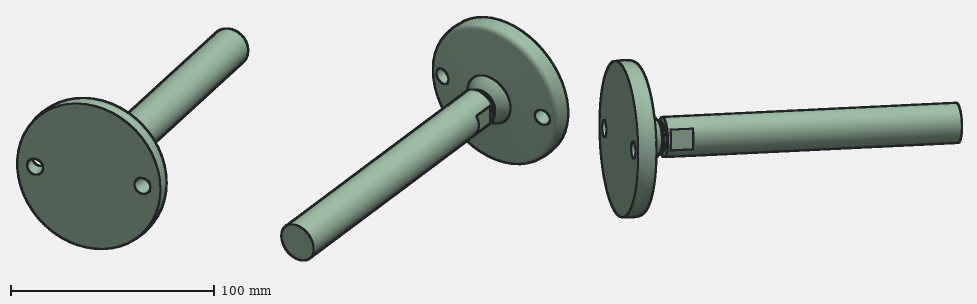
import cadquery as cq
import math

TOTAL_LENGTH = 172.0

RIM_RADIUS = 78.0 / 2
RIM_DRAFT = 0.3
RIM_WIDEST_Y = 4.3
RIM_TOP_Y = 6.9
SHOULDER_RADIUS = 36.0
SHOULDER_Y = 10.0
CONE_ANGLE = 9.2

CONE_INNER_RADIUS = 13.2
DOME_RADIUS = 14.3
DOME_CENTRE_Y = 8.3
DOME_BASE_Y = 15.0
DOME_TOP_Y = 19.8
LIP_RADIUS = 8.6
LIP_Y = 20.8

HOLE_DIAMETER = 8.5
HOLE_OFFSET = 28.9
HOLE_CUTTER_LENGTH = 34.4

STEM_RADIUS = 20.0 / 2
STEM_START_Y = 22.5
NECK_BASE_RADIUS = 7.9
NECK_TOP_RADIUS = 6.5
ACROSS_FLATS = 17.0
FLAT_START_Y = 24.0
FLAT_LENGTH = 11.4


def dome_radius_at(y):
    return math.sqrt(DOME_RADIUS**2 - (y - DOME_CENTRE_Y) ** 2)


def shoulder_midpoint(rim_edge_radius):
    """Middle point of the rounded shoulder between rim and cone."""
    corner_share = 1 - math.sqrt(0.5)
    x = rim_edge_radius - corner_share * (rim_edge_radius - SHOULDER_RADIUS)
    y = SHOULDER_Y - corner_share * (SHOULDER_Y - RIM_TOP_Y)
    return x, y


def make_foot_body():
    rim_edge_radius = RIM_RADIUS - RIM_DRAFT
    cone_rise = (SHOULDER_RADIUS - CONE_INNER_RADIUS) * math.tan(math.radians(CONE_ANGLE))
    dome_mid_y = (DOME_BASE_Y + DOME_TOP_Y) / 2
    return (
        cq.Workplane("XY")
        .lineTo(rim_edge_radius, 0)
        .lineTo(RIM_RADIUS, RIM_WIDEST_Y)
        .lineTo(rim_edge_radius, RIM_TOP_Y)
        .threePointArc(shoulder_midpoint(rim_edge_radius), (SHOULDER_RADIUS, SHOULDER_Y))
        .lineTo(CONE_INNER_RADIUS, SHOULDER_Y + cone_rise)
        .lineTo(dome_radius_at(DOME_BASE_Y), DOME_BASE_Y)
        .threePointArc(
            (dome_radius_at(dome_mid_y), dome_mid_y),
            (dome_radius_at(DOME_TOP_Y), DOME_TOP_Y),
        )
        .lineTo(LIP_RADIUS, LIP_Y)
        .lineTo(0, LIP_Y)
        .close()
        .revolve(360, (0, 0, 0), (0, 1, 0))
    )


def make_hole_cutter(side):
    """Cylinder through one side of the foot, leaning outwards away from the sole."""
    lean = math.radians(CONE_ANGLE)
    direction = cq.Vector(side * math.sin(lean), math.cos(lean), 0)
    sole_point = cq.Vector(side * HOLE_OFFSET, 0, 0)
    start = sole_point - direction * (HOLE_CUTTER_LENGTH / 2)
    return cq.Solid.makeCylinder(HOLE_DIAMETER / 2, HOLE_CUTTER_LENGTH, start, direction)


def make_foot():
    foot = make_foot_body()
    for side in (-1, 1):
        foot = foot.cut(cq.Workplane(make_hole_cutter(side)))
    return foot


def make_stem():
    """Rod with a tapered neck that rests on the lip of the foot."""
    stem = (
        cq.Workplane("XY")
        .moveTo(0, LIP_Y)
        .lineTo(NECK_BASE_RADIUS, LIP_Y)
        .lineTo(NECK_TOP_RADIUS, STEM_START_Y)
        .lineTo(STEM_RADIUS, STEM_START_Y)
        .lineTo(STEM_RADIUS, TOTAL_LENGTH)
        .lineTo(0, TOTAL_LENGTH)
        .close()
        .revolve(360, (0, 0, 0), (0, 1, 0))
    )
    for side in (-1, 1):
        flat_cutter = cq.Workplane("XY").box(STEM_RADIUS, FLAT_LENGTH, 2 * STEM_RADIUS)
        centre_x = side * (ACROSS_FLATS + STEM_RADIUS) / 2
        centre_y = FLAT_START_Y + FLAT_LENGTH / 2
        stem = stem.cut(flat_cutter.translate((centre_x, centre_y, 0)))
    return stem


foot = make_foot()
stem = make_stem()

result = cq.Compound.makeCompound([foot.solids().val(), stem.solids().val()])